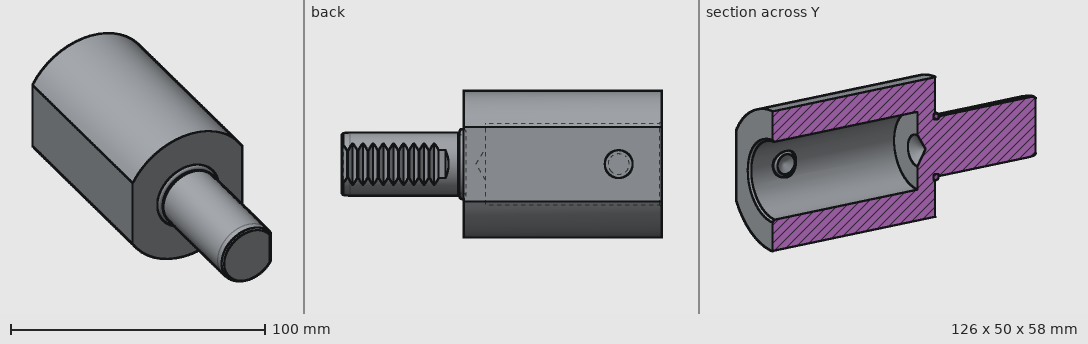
import cadquery as cq
import math

total_length = 126.0
head_length = 78.0
head_diameter = 58.0
across_flats = 50.0

bore_diameter = 32.0
bore_depth = 69.3
bore_chamfer = 1.0
drill_point_diameter = 13.0
drill_point_angle = 118.0

shank_diameter = 25.0
end_blend_length = 2.6
end_blend_drop = 0.3
end_chamfer = 0.8

flat_height = 11.2
flat_start = 7.2
groove_count = 10
groove_depth = 1.8
first_valley = 11.6
last_valley = 47.6

clearance = 1.3

ring_section = 2.5
ring_offset = 0.4
ring_center_height = 12.6
relief_length = 2.3
relief_depth = 0.1

screw_diameter = 11.0
screw_x = 17.0
screw_tip_height = 15.0
screw_tip_chamfer = 1.4
cup_angle = 120.0

head_radius = head_diameter / 2
shank_radius = shank_diameter / 2
bore_radius = bore_diameter / 2
flat_face = across_flats / 2
ring_x = head_length + ring_offset
groove_pitch = (last_valley - first_valley) / (groove_count - 1)


def x_revolve(points):
    """Revolve a closed (x, radius) profile about the X axis."""
    return cq.Workplane("XY").polyline(points).close().revolve(360, (0, 0, 0), (1, 0, 0))


def make_head():
    """Round head with two parallel flats facing +Y and -Y."""
    blank = cq.Workplane("YZ").circle(head_radius).extrude(head_length)
    slab = cq.Workplane("YZ").rect(across_flats, head_diameter).extrude(head_length)
    return blank.intersect(slab)


def make_shank():
    """Shank with a slightly rounded and chamfered free end."""
    blend_end = total_length - end_chamfer
    blend_start = blend_end - end_blend_length
    return (
        cq.Workplane("XY")
        .moveTo(bore_depth, 0)
        .lineTo(bore_depth, shank_radius)
        .lineTo(blend_start, shank_radius)
        .tangentArcPoint((blend_end, shank_radius - end_blend_drop), relative=False)
        .lineTo(total_length, shank_radius - end_blend_drop - end_chamfer)
        .lineTo(total_length, 0)
        .close()
        .revolve(360, (0, 0, 0), (1, 0, 0))
    )


def make_bore():
    """Chamfered blind bore with a drill point at its floor."""
    point_radius = drill_point_diameter / 2
    point_depth = point_radius / math.tan(math.radians(drill_point_angle / 2))
    return x_revolve([
        (0, 0),
        (0, bore_radius + bore_chamfer),
        (bore_chamfer, bore_radius),
        (bore_depth, bore_radius),
        (bore_depth, point_radius),
        (bore_depth + point_depth, 0),
    ])


def make_serration():
    """Cutter for the flat, its 45 degree end wall and its row of 90 degree V grooves."""
    top = shank_radius + clearance
    points = [
        (flat_start - (top - flat_height), top),
        (flat_start, flat_height),
    ]
    for groove in range(groove_count):
        valley = first_valley + groove * groove_pitch
        points += [
            (valley - groove_depth, flat_height),
            (valley, flat_height - groove_depth),
            (valley + groove_depth, flat_height),
        ]
    points.append((points[-1][0], top))
    return (
        cq.Workplane("XY", origin=(head_length, 0, 0))
        .polyline(points)
        .close()
        .extrude(shank_radius, both=True)
    )


def make_ring():
    """Torus about the X axis at the shank root."""
    return (
        cq.Workplane("XY")
        .center(ring_x, ring_center_height)
        .circle(ring_section / 2)
        .revolve(360, (0, -ring_center_height, 0), (1, -ring_center_height, 0))
    )


def make_ring_relief():
    """Shallow cutter that reduces the shank next to the head."""
    start = head_length
    end = head_length + relief_length
    inner = shank_radius - relief_depth
    outer = shank_radius + relief_depth
    return x_revolve([(start, inner), (start, outer), (end, outer), (end, inner)])


def make_screw_hole():
    """Round hole from the bore out through the +Y flat."""
    return (
        cq.Workplane("XZ", origin=(screw_x, 0, 0))
        .circle(screw_diameter / 2)
        .extrude(-flat_face)
    )


def make_housing():
    """Head and shank in one piece, with a fitting seat for the ring and a hole for the screw."""
    housing = make_head().union(make_shank())
    cutters = [
        make_bore(),
        make_serration(),
        make_ring_relief(),
        make_ring(),
        make_screw_hole(),
    ]
    for cutter in cutters:
        housing = housing.cut(cutter)
    return housing


def make_screw():
    """Headless cup-point screw, flush with the +Y flat."""
    radius = screw_diameter / 2
    cup_radius = radius - screw_tip_chamfer
    cup_depth = cup_radius / math.tan(math.radians(cup_angle / 2))
    profile = [
        (0, flat_face),
        (radius, flat_face),
        (radius, screw_tip_height + screw_tip_chamfer),
        (cup_radius, screw_tip_height),
        (0, screw_tip_height + cup_depth),
    ]
    return (
        cq.Workplane("XY")
        .polyline(profile)
        .close()
        .revolve(360, (0, 0, 0), (0, 1, 0))
        .translate((screw_x, 0, 0))
    )


housing = make_housing()
sealing_ring = make_ring()
screw = make_screw()
result = cq.Compound.makeCompound([housing.val(), sealing_ring.val(), screw.val()])